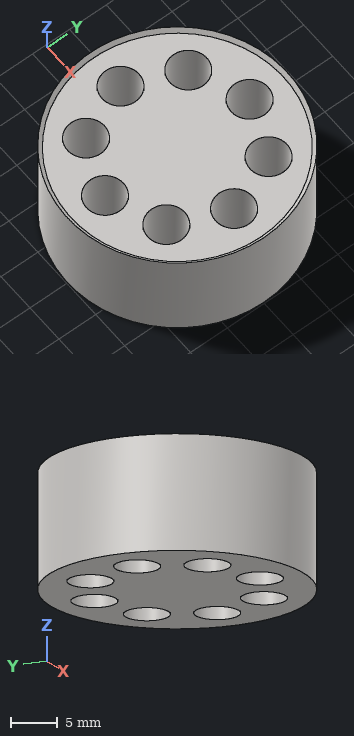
import cadquery as cq

outer_diameter = 29.8
height = 13.0

recess_depth = 0.5
floor_radius = outer_diameter / 2 - recess_depth
floor_height = height - recess_depth

hole_count = 8
hole_diameter = 5.0
hole_circle_radius = 9.8


def make_body():
    """Revolve the half section of the disc with its recessed top."""
    return (
        cq.Workplane("XZ")
        .moveTo(0, 0)
        .lineTo(outer_diameter / 2, 0)
        .lineTo(outer_diameter / 2, height)
        .lineTo(floor_radius, floor_height)
        .lineTo(0, floor_height)
        .close()
        .revolve(360, (0, 0, 0), (0, 1, 0))
    )


def make_holes():
    """Cylinders for the evenly spaced through holes."""
    return (
        cq.Workplane("XY")
        .polarArray(hole_circle_radius, 0, 360, hole_count)
        .circle(hole_diameter / 2)
        .extrude(height)
    )


result = make_body().cut(make_holes())